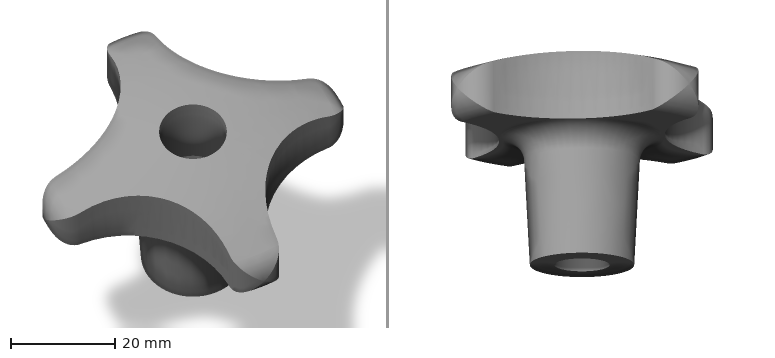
import cadquery as cq
import math

span = 63.0
head_bottom = 25.0
dome_radius = 77.2

arm_count = 4
arm_half_width = 5.0
tip_center = span / 2 - arm_half_width
tip_height = head_bottom + arm_half_width
rim_allowance = 0.001
rim_center = tip_center + rim_allowance
grip_radius = tip_center - arm_half_width

hub_bottom_radius = 10.0
hub_top_radius = 11.1
flare_size = 4.65
hub_top = head_bottom - flare_size
flare_radius = hub_top_radius + flare_size

bore_bottom_radius = 5.3
narrow_bore_length = 22.0
bore_top_radius = 6.5
wide_bore_bottom = narrow_bore_length + bore_top_radius - bore_bottom_radius

dome_center = tip_height - math.sqrt((dome_radius - arm_half_width) ** 2 - rim_center**2)
dome_top = dome_center + dome_radius
clear_height = dome_top + 3.15
tangent_angle = math.atan2(tip_height - dome_center, rim_center)


def circle_point(center, radius, angle):
    """Point on a circle in the plane of an outline."""
    return (center[0] + radius * math.cos(angle), center[1] + radius * math.sin(angle))


def make_head_disc():
    """Domed disc with a rounded rim, its seam turned midway between two arms."""
    dome_middle = circle_point((0, dome_center), dome_radius, (tangent_angle + math.pi / 2) / 2)
    dome_end = circle_point((0, dome_center), dome_radius, tangent_angle)
    profile = (
        cq.Workplane("XZ")
        .moveTo(0, head_bottom)
        .lineTo(rim_center, head_bottom)
        .threePointArc((rim_center + arm_half_width, tip_height), dome_end)
        .threePointArc(dome_middle, (0, dome_top))
        .close()
    )
    return profile.revolve(360, (0, 0, 0), (0, 1, 0)).rotate((0, 0, 0), (0, 0, 1), 180 / arm_count)


def make_arm_outline():
    """Upright star prism, taller than the dome: round arm ends joined by concave finger grips."""
    outline = cq.Workplane("XY").moveTo(tip_center, -arm_half_width)
    grip_depth = tip_center * math.sqrt(2) - grip_radius
    for arm in range(arm_count):
        angle = arm * 2 * math.pi / arm_count
        next_angle = angle + 2 * math.pi / arm_count
        tip = circle_point((0, 0), tip_center, angle)
        next_tip = circle_point((0, 0), tip_center, next_angle)
        tip_end = circle_point(tip, arm_half_width, angle + math.pi / 2)
        grip_end = circle_point(next_tip, arm_half_width, next_angle - math.pi / 2)
        outline = outline.threePointArc(circle_point((0, 0), span / 2, angle), tip_end)
        grip_middle = circle_point((0, 0), grip_depth, (angle + next_angle) / 2)
        outline = outline.threePointArc(grip_middle, grip_end)
    return outline.close().extrude(clear_height)


def make_hub():
    """Tapered hub whose concave flare runs out level under the head."""
    flare_middle = circle_point((flare_radius, hub_top), flare_size, 3 * math.pi / 4)
    profile = (
        cq.Workplane("XZ")
        .lineTo(hub_bottom_radius, 0)
        .lineTo(hub_top_radius, hub_top)
        .threePointArc(flare_middle, (flare_radius, head_bottom))
        .lineTo(0, head_bottom)
        .close()
    )
    return profile.revolve(360, (0, 0, 0), (0, 1, 0))


def make_bore():
    """Stepped bore cutter, carried straight up past the dome."""
    profile = (
        cq.Workplane("XZ")
        .lineTo(bore_bottom_radius, 0)
        .lineTo(bore_bottom_radius, narrow_bore_length)
        .lineTo(bore_top_radius, wide_bore_bottom)
        .lineTo(bore_top_radius, clear_height)
        .lineTo(0, clear_height)
        .close()
    )
    return profile.revolve(360, (0, 0, 0), (0, 1, 0))


head = make_head_disc().intersect(make_arm_outline())
result = head.union(make_hub()).cut(make_bore())